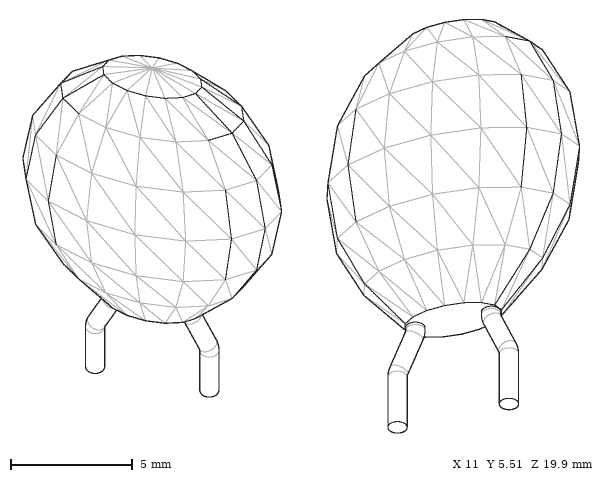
import cadquery as cq
import math

BODY_WIDTH = 11.0
BODY_DEPTH = 5.51
BODY_HEIGHT = 15.0
SECTORS = 16
BANDS = 8

LEAD_DIAMETER = 0.8
LEAD_TOP_PITCH = 3.3
LEAD_FOOT_PITCH = 4.85
LEAD_DROP = 4.88
LEAD_STUB = 0.12
LEAD_ANGLE = math.radians(22.5)
BEND_RADIUS = LEAD_DIAMETER

BODY_BOTTOM = -BODY_HEIGHT / 2
BODY_TOP = BODY_HEIGHT / 2


def ring_points(band):
    """Corners of one horizontal ring; the lowest ring is level with the flat underside."""
    latitude = math.pi * (band / BANDS - 0.5)
    height = BODY_BOTTOM if band == 1 else BODY_TOP * math.sin(latitude)
    points = []
    for sector in range(SECTORS):
        turn = 2 * math.pi * sector / SECTORS
        x = BODY_WIDTH / 2 * math.cos(latitude) * math.cos(turn)
        y = BODY_DEPTH / 2 * math.cos(latitude) * math.sin(turn)
        points.append(cq.Vector(x, y, height))
    return points


def flat_face(*corners):
    return cq.Face.makeFromWires(cq.Wire.makePolygon(corners, close=True))


def make_body():
    rings = [ring_points(band) for band in range(1, BANDS)]
    apex = cq.Vector(0, 0, BODY_TOP)
    faces = [flat_face(*reversed(rings[0]))]

    for lower, upper in zip(rings, rings[1:]):
        for sector in range(SECTORS):
            following = (sector + 1) % SECTORS
            faces.append(flat_face(lower[sector], lower[following], upper[sector]))
            faces.append(flat_face(lower[following], upper[following], upper[sector]))

    for sector in range(SECTORS):
        following = (sector + 1) % SECTORS
        faces.append(flat_face(rings[-1][sector], rings[-1][following], apex))

    return cq.Workplane(cq.Solid.makeSolid(cq.Shell.makeShell(faces)))


def make_lead(side):
    """One lead; side is -1 for the -X lead and +1 for the +X lead."""
    top_x = LEAD_TOP_PITCH / 2
    foot_x = LEAD_FOOT_PITCH / 2
    foot_z = BODY_BOTTOM - LEAD_DROP

    bend_x = BEND_RADIUS * (1 - math.cos(LEAD_ANGLE))
    bend_z = BEND_RADIUS * math.sin(LEAD_ANGLE)
    half_x = BEND_RADIUS * (1 - math.cos(LEAD_ANGLE / 2))
    half_z = BEND_RADIUS * math.sin(LEAD_ANGLE / 2)

    slope_x = foot_x - top_x - 2 * bend_x
    slope_z = slope_x / math.tan(LEAD_ANGLE)
    upper_bend_z = BODY_BOTTOM - LEAD_STUB
    lower_bend_z = upper_bend_z - 2 * bend_z - slope_z

    path = (
        cq.Workplane("XZ")
        .moveTo(side * top_x, BODY_BOTTOM)
        .lineTo(side * top_x, upper_bend_z)
        .threePointArc(
            (side * (top_x + half_x), upper_bend_z - half_z),
            (side * (top_x + bend_x), upper_bend_z - bend_z),
        )
        .lineTo(side * (foot_x - bend_x), lower_bend_z + bend_z)
        .threePointArc(
            (side * (foot_x - half_x), lower_bend_z + half_z),
            (side * foot_x, lower_bend_z),
        )
        .lineTo(side * foot_x, foot_z)
    )
    return (
        cq.Workplane("XY", origin=(side * top_x, 0, BODY_BOTTOM))
        .circle(LEAD_DIAMETER / 2)
        .sweep(path)
    )


body = make_body()
leads = [make_lead(side) for side in (-1, 1)]

result = cq.Compound.makeCompound([body.val(), *[lead.val() for lead in leads]])